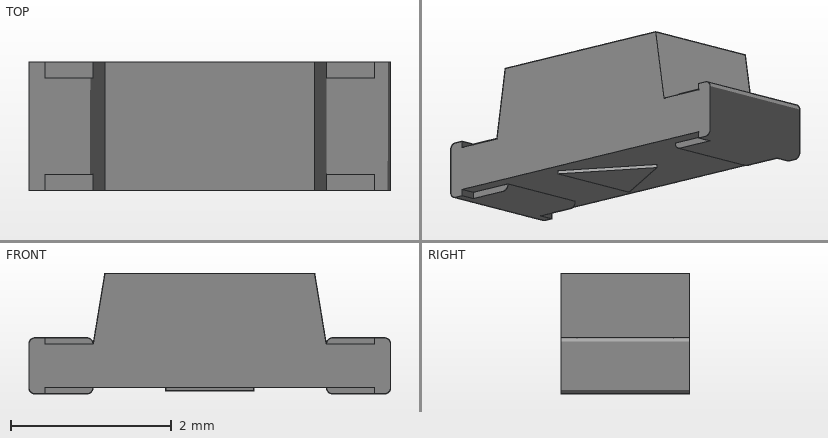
import math

import cadquery as cq


length = 4.5
width = 1.6
height = 1.5

terminal_length = 0.8
terminal_height = 0.7
metal_thickness = 0.08
terminal_radius = metal_thickness
notch_start = 0.2
notch_width = 0.2

board_length = length - 2 * metal_thickness
board_bottom = metal_thickness
board_top = terminal_height - metal_thickness

lens_base_length = length - 2 * terminal_length
lens_end_inset = 0.145

mark_length = 1.1
mark_thickness = 0.04
mark_half_base = mark_length * math.tan(math.radians(30))


def make_board():
    board_thickness = board_top - board_bottom
    return (
        cq.Workplane("XY")
        .workplane(offset=board_bottom)
        .box(board_length, width, board_thickness, centered=(True, True, False))
    )


def make_lens():
    base_x = lens_base_length / 2
    top_x = base_x - lens_end_inset
    return (
        cq.Workplane("XZ")
        .polyline([(-base_x, board_top), (base_x, board_top), (top_x, height), (-top_x, height)])
        .close()
        .extrude(width / 2, both=True)
    )


def make_left_terminal(board):
    """Rounded cap on the -X end, hollowed by the board and notched at its leg corners."""
    outer_x = -length / 2
    cap = (
        cq.Workplane("XY")
        .box(terminal_length, width, terminal_height, centered=(False, True, False))
        .translate((outer_x, 0, 0))
        .edges("|Y")
        .fillet(terminal_radius)
    )
    notch_length = terminal_length - notch_start
    for side in (-1, 1):
        notch = (
            cq.Workplane("XY")
            .box(notch_length, notch_width, terminal_height, centered=(False, True, False))
            .translate((outer_x + notch_start, side * (width - notch_width) / 2, 0))
        )
        cap = cap.cut(notch)
    return cap.cut(board)


def make_polarity_mark():
    tip_x = -mark_length / 2
    base_x = mark_length / 2
    return (
        cq.Workplane("XY")
        .workplane(offset=board_bottom - mark_thickness)
        .polyline([(tip_x, 0), (base_x, -mark_half_base), (base_x, mark_half_base)])
        .close()
        .extrude(mark_thickness)
    )


board = make_board()
left_terminal = make_left_terminal(board)
right_terminal = left_terminal.mirror("YZ")

result = board
for component in (make_lens(), left_terminal, right_terminal, make_polarity_mark()):
    result = result.union(component, clean=False)